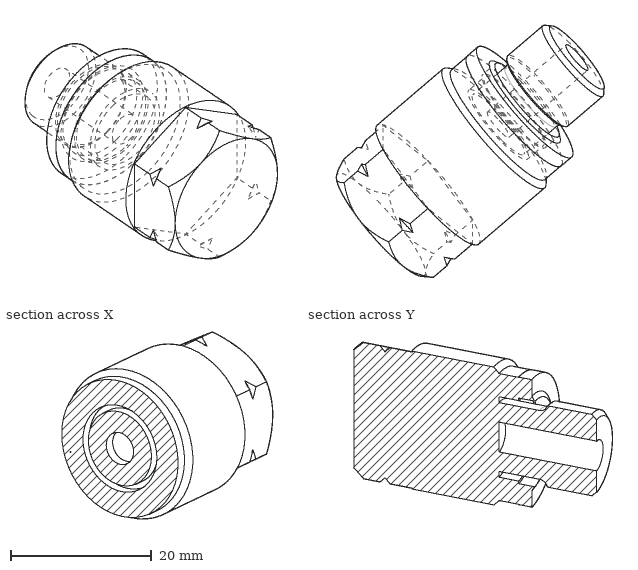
import cadquery as cq
import math

spigot_length = 7.7
groove_flat_start = 8.8
seat_start = 9.5
collar_start = 9.95
collar_split = 11.95
body_start = 15.0
hex_start = 28.4
total_length = 37.4
bore_depth = body_start

bore_radius = 2.35
spigot_radius = 6.58
groove_radius = 5.57
seat_radius = 7.6
collar_radius = 10.3
collar_rear_radius = 10.25
body_diameter = 22.25
body_radius = body_diameter / 2

spigot_chamfer = 0.75
spigot_rear_chamfer = 0.22
seat_chamfer_height = 0.75
body_chamfer = 0.82

recess_end = body_start
recess_inner_radius = 6.43
recess_radius = seat_radius - seat_chamfer_height

hex_across_flats = 19.0
hex_flat_radius = hex_across_flats / 2
hex_corner_radius = hex_across_flats / math.sqrt(3)
hex_chamfer_length = 1.5
notch_center = 32.55
notch_half_width = 0.75
notch_depth = 0.82



def turned_body():
    """Spigot, undercut, stepped recess, seat, collar and main body as one revolved profile."""
    arc_run = groove_flat_start - spigot_length
    arc_rise = spigot_radius - spigot_rear_chamfer - groove_radius
    arc_radius = (arc_run**2 + arc_rise**2) / (2 * arc_rise)
    half_angle = math.asin(arc_run / arc_radius) / 2
    arc_middle = (
        groove_flat_start - arc_radius * math.sin(half_angle),
        groove_radius + arc_radius * (1 - math.cos(half_angle)),
    )
    return (
        cq.Workplane("XY")
        .moveTo(0, 0)
        .lineTo(0, spigot_radius - spigot_chamfer)
        .lineTo(spigot_chamfer, spigot_radius)
        .lineTo(spigot_length - spigot_rear_chamfer, spigot_radius)
        .lineTo(spigot_length, spigot_radius - spigot_rear_chamfer)
        .threePointArc(arc_middle, (groove_flat_start, groove_radius))
        .lineTo(recess_end, groove_radius)
        .lineTo(recess_end, recess_inner_radius)
        .lineTo(collar_split, recess_inner_radius)
        .lineTo(collar_split, recess_radius)
        .lineTo(seat_start, recess_radius)
        .lineTo(collar_start, seat_radius)
        .lineTo(collar_start, collar_radius)
        .lineTo(collar_split, collar_radius)
        .lineTo(collar_split, collar_rear_radius)
        .lineTo(body_start, collar_rear_radius)
        .lineTo(body_start + body_chamfer, body_radius)
        .lineTo(hex_start, body_radius)
        .lineTo(hex_start, 0)
        .close()
        .revolve(360, (0, 0, 0), (1, 0, 0))
    )


def hex_head():
    """Hexagon with a conical end chamfer and a V notch across each corner."""
    corners = [
        (
            hex_corner_radius * math.sin(math.radians(60 * i)),
            hex_corner_radius * math.cos(math.radians(60 * i)),
        )
        for i in range(6)
    ]
    head = (
        cq.Workplane("YZ", origin=(hex_start, 0, 0))
        .polyline(corners)
        .close()
        .extrude(total_length - hex_start)
    )
    chamfer_envelope = (
        cq.Workplane("XY")
        .moveTo(hex_start, 0)
        .lineTo(hex_start, hex_corner_radius)
        .lineTo(total_length - hex_chamfer_length, hex_corner_radius)
        .lineTo(total_length, hex_flat_radius)
        .lineTo(total_length, 0)
        .close()
        .revolve(360, (0, 0, 0), (1, 0, 0))
    )
    head = head.intersect(chamfer_envelope)
    notch = (
        cq.Workplane("XZ")
        .moveTo(notch_center - notch_half_width, hex_corner_radius)
        .lineTo(notch_center, hex_corner_radius - notch_depth)
        .lineTo(notch_center + notch_half_width, hex_corner_radius)
        .close()
        .extrude(hex_flat_radius, both=True)
    )
    for i in range(6):
        head = head.cut(notch.rotate((0, 0, 0), (1, 0, 0), 60 * i))
    return head


def bore():
    return cq.Workplane("YZ").circle(bore_radius).extrude(bore_depth)


result = turned_body().union(hex_head()).cut(bore())